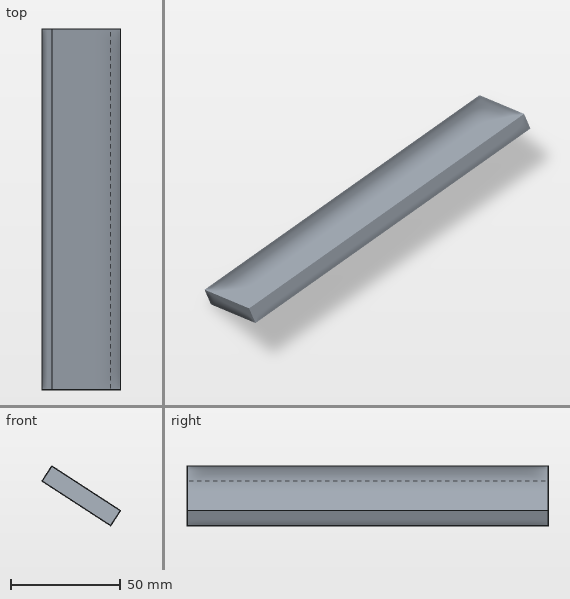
import cadquery as cq

length = 165.0
width = 37.5
thickness = 8.2
tilt_angle = 33.0

bar = cq.Workplane("XY").box(width, length, thickness)
result = bar.rotate((0, 0, 0), (0, 1, 0), tilt_angle)